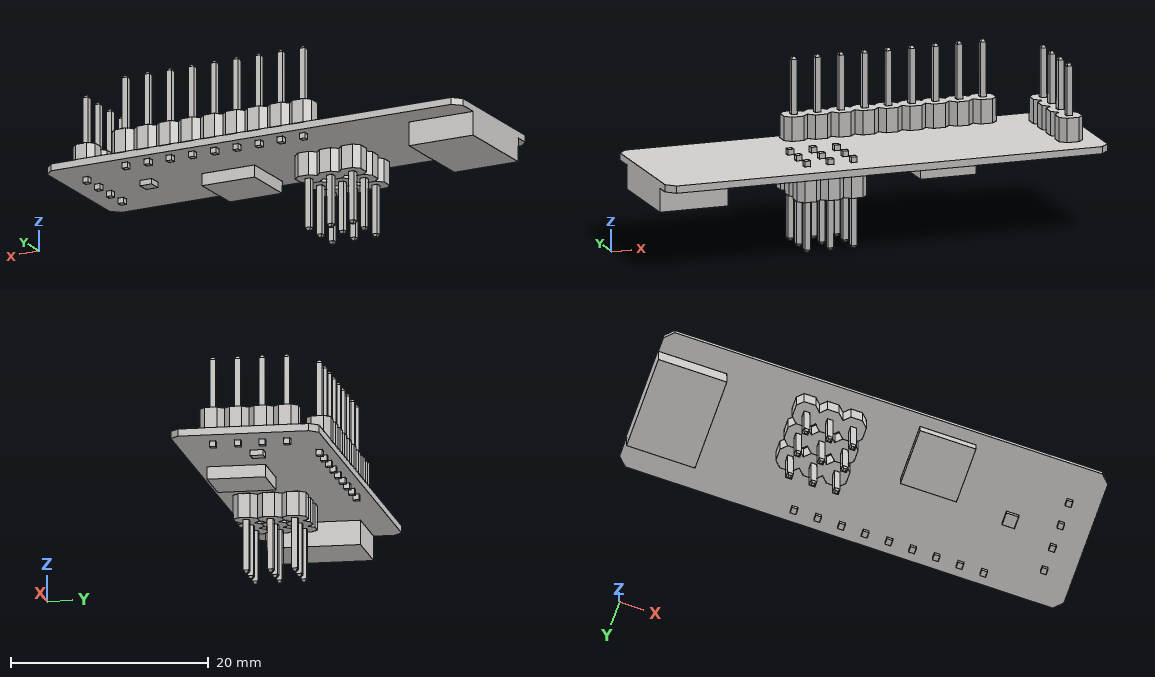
import cadquery as cq


BOARD_LENGTH = 47.65
BOARD_WIDTH = 15.25
BOARD_THICKNESS = 0.75
BOARD_CORNER = 0.9
BLOCK_LENGTH = 7.35
BLOCK_WIDTH = 9.75
BLOCK_HEIGHT = 2.52
BLOCK_FRONT = 2.45

PIN_SIZE = 0.6
TIP_LENGTH = 0.3
TIP_SIZE = 0.3
CELL_CHAMFER_RATIO = 0.25
PIN_TAIL = 0.55

PITCHES_ACROSS_BOARD = 6
UPPER_PITCH = BOARD_WIDTH / PITCHES_ACROSS_BOARD
LONG_COUNT = 9
LONG_FIRST_X = 18.55
LONG_Y = BOARD_WIDTH - 1.4
LONG_PIN_HEIGHT = 8.55
SHORT_COUNT = 4
SHORT_X = 44.55
SHORT_FIRST_Y = 3.95
SHORT_PIN_HEIGHT = 8.0

TOTAL_HEIGHT = 17.58
LOWER_COUNT = 3
LOWER_ROWS = 3
LOWER_SPAN = 5.0
LOWER_PITCH = LOWER_SPAN / (LOWER_COUNT - 1)
LOWER_FIRST_X = 16.0
LOWER_FIRST_Y = 3.0
LOWER_GAP = 0.25
LOWER_PIN_DEPTH = TOTAL_HEIGHT - LONG_PIN_HEIGHT - BOARD_THICKNESS

CHIP_SIZE = 6.0
CHIP_HEIGHT = 1.3
CHIP_LEFT = 27.63
CHIP_FRONT = 1.3
SMALL_CHIP_SIZE = 1.35
SMALL_CHIP_HEIGHT = PIN_TAIL
SMALL_CHIP_LEFT = 38.85
SMALL_CHIP_FRONT = (BOARD_WIDTH - SMALL_CHIP_SIZE) / 2

BOARD_TOP = BOARD_THICKNESS


def row_points(first_x, first_y, count, pitch, along_y=False):
    """Pin centres of one row running along X, or along Y."""
    if along_y:
        return [(first_x, first_y + i * pitch) for i in range(count)]
    return [(first_x + i * pitch, first_y) for i in range(count)]


def make_header(points, pitch, seat_z, tip_z, tail_z):
    """One header: a chain of octagonal plastic cells with a pin through each.

    The plastic starts at seat_z and is one pitch tall. The pins run from the plain
    end at tail_z to the tapered end at tip_z, which may lie above or below the plastic.
    """
    direction = 1 if tip_z > tail_z else -1
    shoulder_z = tip_z - direction * TIP_LENGTH
    header = None
    for x, y in points:
        cell = (
            cq.Workplane("XY", origin=(x, y, seat_z))
            .rect(pitch, pitch)
            .extrude(direction * pitch)
            .edges("|Z")
            .chamfer(pitch * CELL_CHAMFER_RATIO)
        )
        shank = (
            cq.Workplane("XY", origin=(x, y, tail_z))
            .rect(PIN_SIZE, PIN_SIZE)
            .extrude(shoulder_z - tail_z)
        )
        tip = (
            cq.Workplane("XY", origin=(x, y, shoulder_z))
            .rect(PIN_SIZE, PIN_SIZE)
            .workplane(offset=tip_z - shoulder_z)
            .rect(TIP_SIZE, TIP_SIZE)
            .loft()
        )
        unit = cell.union(shank).union(tip)
        header = unit if header is None else header.union(unit)
    return header


def make_board(pin_points):
    """Board and connector block in one piece, with a square hole for every pin."""
    plate = (
        cq.Workplane("XY")
        .box(BOARD_LENGTH, BOARD_WIDTH, BOARD_THICKNESS, centered=False)
        .edges("|Z")
        .chamfer(BOARD_CORNER)
    )
    block = (
        cq.Workplane("XY", origin=(0, BLOCK_FRONT, -BLOCK_HEIGHT))
        .box(BLOCK_LENGTH, BLOCK_WIDTH, BLOCK_HEIGHT, centered=False)
    )
    holes = (
        cq.Workplane("XY")
        .pushPoints(pin_points)
        .rect(PIN_SIZE, PIN_SIZE)
        .extrude(BOARD_THICKNESS)
    )
    return plate.union(block).cut(holes)


def make_chip(left, front, size, height):
    """Square component flush against the underside of the board."""
    return cq.Workplane("XY", origin=(left, front, -height)).box(size, size, height, centered=False)


long_points = row_points(LONG_FIRST_X, LONG_Y, LONG_COUNT, UPPER_PITCH)
short_points = row_points(SHORT_X, SHORT_FIRST_Y, SHORT_COUNT, UPPER_PITCH, along_y=True)
lower_rows = [
    row_points(LOWER_FIRST_X, LOWER_FIRST_Y + row * LOWER_PITCH, LOWER_COUNT, LOWER_PITCH)
    for row in range(LOWER_ROWS)
]
lower_points = [point for row in lower_rows for point in row]

board = make_board(long_points + short_points + lower_points)
long_header = make_header(long_points, UPPER_PITCH, BOARD_TOP, BOARD_TOP + LONG_PIN_HEIGHT, -PIN_TAIL)
short_header = make_header(short_points, UPPER_PITCH, BOARD_TOP, BOARD_TOP + SHORT_PIN_HEIGHT, -PIN_TAIL)
lower_headers = [
    make_header(points, LOWER_PITCH, -LOWER_GAP, -LOWER_PIN_DEPTH, BOARD_TOP + PIN_TAIL)
    for points in lower_rows
]
chip = make_chip(CHIP_LEFT, CHIP_FRONT, CHIP_SIZE, CHIP_HEIGHT)
small_chip = make_chip(SMALL_CHIP_LEFT, SMALL_CHIP_FRONT, SMALL_CHIP_SIZE, SMALL_CHIP_HEIGHT)

result = cq.Compound.makeCompound(
    [
        board.val(),
        long_header.val(),
        short_header.val(),
        *[header.val() for header in lower_headers],
        chip.val(),
        small_chip.val(),
    ]
)